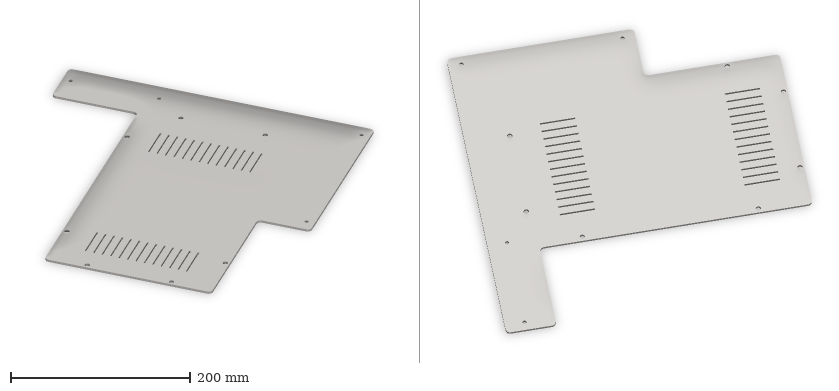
import cadquery as cq

LENGTH_X = 362.5
LENGTH_Y = 367.0
THICKNESS = 3.0
CORNER_RADIUS = 5.0

PANEL_WIDTH = 198.0
PANEL_LEFT = 102.0
PANEL_RIGHT = PANEL_LEFT + PANEL_WIDTH
PANEL_CENTER = (PANEL_LEFT + PANEL_RIGHT) / 2
LEFT_WING_DEPTH = 57.0
RIGHT_WING_DEPTH = 213.0
LEFT_WING_BOTTOM = LENGTH_Y - LEFT_WING_DEPTH
RIGHT_WING_BOTTOM = LENGTH_Y - RIGHT_WING_DEPTH

PANEL_HOLE_DIAMETER = 6.0
PANEL_HOLE_INSET = 5.0
END_HOLE_SPACING = 100.0
TOP_HOLE_Y = 316.0
LOWER_SIDE_HOLE_Y = 60.5
SIDE_HOLE_SPACING = 200.0

WING_HOLE_DIAMETER = 4.5
LEFT_WING_HOLE_INSET = 10.0
LEFT_WING_HOLE_SPACING = 105.0
LEFT_WING_HOLE_Y = 344.5
RIGHT_WING_HOLE_SIDE_INSET = 10.0
RIGHT_WING_HOLE_END_INSET = 15.0
RIGHT_WING_HOLE_X = LENGTH_X - RIGHT_WING_HOLE_SIDE_INSET

SLOT_COUNT = 13
SLOT_PITCH = 10.0
SLOT_WIDTH = 2.0
SLOT_LENGTH = 40.0
SLOT_ROW_CENTER_X = 200.0
LOWER_SLOT_ROW_Y = 50.0
SLOT_ROW_SPACING = 210.0


def make_plate():
    """Stepped plate with every corner rounded."""
    return (
        cq.Workplane("XY")
        .moveTo(PANEL_LEFT, 0)
        .lineTo(PANEL_RIGHT, 0)
        .lineTo(PANEL_RIGHT, RIGHT_WING_BOTTOM)
        .lineTo(LENGTH_X, RIGHT_WING_BOTTOM)
        .lineTo(LENGTH_X, LENGTH_Y)
        .lineTo(0, LENGTH_Y)
        .lineTo(0, LEFT_WING_BOTTOM)
        .lineTo(PANEL_LEFT, LEFT_WING_BOTTOM)
        .close()
        .extrude(THICKNESS)
        .edges("|Z")
        .fillet(CORNER_RADIUS)
    )


def make_holes(points, diameter):
    """Through-hole cutters at the given points."""
    return cq.Workplane("XY").pushPoints(points).circle(diameter / 2).extrude(THICKNESS)


def make_slot_row(center_y):
    """Cutters for one row of square-ended ventilation slots."""
    return (
        cq.Workplane("XY")
        .center(SLOT_ROW_CENTER_X, center_y)
        .rarray(SLOT_PITCH, 1, SLOT_COUNT, 1)
        .rect(SLOT_WIDTH, SLOT_LENGTH)
        .extrude(THICKNESS)
    )


end_holes = [
    (PANEL_CENTER + side * END_HOLE_SPACING / 2, y)
    for side in (-1, 1)
    for y in (PANEL_HOLE_INSET, TOP_HOLE_Y)
]
side_holes = [
    (PANEL_LEFT + PANEL_HOLE_INSET, LOWER_SIDE_HOLE_Y),
    (PANEL_RIGHT - PANEL_HOLE_INSET, LOWER_SIDE_HOLE_Y),
    (PANEL_LEFT + PANEL_HOLE_INSET, LOWER_SIDE_HOLE_Y + SIDE_HOLE_SPACING),
]
wing_holes = [
    (LEFT_WING_HOLE_INSET, LEFT_WING_HOLE_Y),
    (LEFT_WING_HOLE_INSET + LEFT_WING_HOLE_SPACING, LEFT_WING_HOLE_Y),
    (RIGHT_WING_HOLE_X, RIGHT_WING_BOTTOM + RIGHT_WING_HOLE_END_INSET),
    (RIGHT_WING_HOLE_X, LENGTH_Y - RIGHT_WING_HOLE_END_INSET),
]

result = make_plate()
result = result.cut(make_holes(end_holes + side_holes, PANEL_HOLE_DIAMETER))
result = result.cut(make_holes(wing_holes, WING_HOLE_DIAMETER))
for row_y in (LOWER_SLOT_ROW_Y, LOWER_SLOT_ROW_Y + SLOT_ROW_SPACING):
    result = result.cut(make_slot_row(row_y))